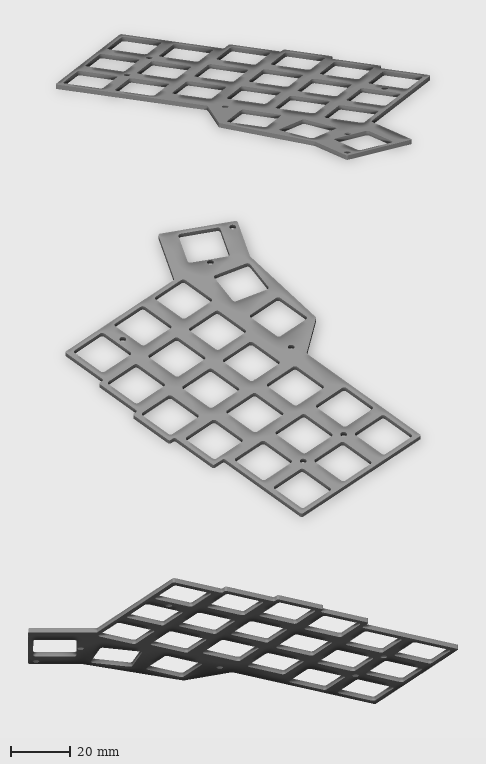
import cadquery as cq
import math


PLATE_LENGTH = 132.9
THICKNESS = 1.6
PITCH = 19.0
KEY_GAP = 0.9
STAGGER = 2.4
COLUMN_STEPS = [0, 0, 2, 3, 2, 1]
ROWS = 3
BOTTOM_ROW_Y = 37.2
OPENING_WIDTH = 14.6
OPENING_HEIGHT = 13.8
PLATE_RADIUS = 0.7
OPENING_RADIUS = 1.0
LOWER_BEND_X = 56.0
SCREW_DIAMETER = 2.3
THUMB_SCREWS = [(61.8, 29.8), (110.8, 20.5), (118.1, 3.0)]

INNER_THUMB = (75.5, 22.6)
MIDDLE_THUMB = (96.5, 19.8)
MIDDLE_THUMB_ANGLE = -15
OUTER_THUMB_ANGLE = -30
OUTER_THUMB_UNITS = 1.5

FRAME_HALF = (PITCH - KEY_GAP) / 2
OUTER_FRAME_HALF_HEIGHT = (OUTER_THUMB_UNITS * PITCH - KEY_GAP) / 2
TILT_COS = math.cos(math.radians(OUTER_THUMB_ANGLE))
TILT_SIN = math.sin(math.radians(OUTER_THUMB_ANGLE))

ROUND_X = FRAME_HALF - PLATE_RADIUS
ROUND_Y = OUTER_FRAME_HALF_HEIGHT - PLATE_RADIUS
OUTER_THUMB = (
    PLATE_LENGTH - PLATE_RADIUS - ROUND_X * TILT_COS + ROUND_Y * TILT_SIN,
    PLATE_RADIUS - ROUND_X * TILT_SIN + ROUND_Y * TILT_COS,
)


def column_x(column):
    return FRAME_HALF + column * PITCH


def key_y(column, row):
    return BOTTOM_ROW_Y + row * PITCH + COLUMN_STEPS[column] * STAGGER


def column_top(column):
    return key_y(column, ROWS - 1) + FRAME_HALF


def on_outer_thumb(across, along):
    """Point given in the tilted axes of the outer thumb key."""
    return (
        OUTER_THUMB[0] + across * TILT_COS - along * TILT_SIN,
        OUTER_THUMB[1] + across * TILT_SIN + along * TILT_COS,
    )


def plate():
    bottom = BOTTOM_ROW_Y - FRAME_HALF
    step_left = [column_x(i) - FRAME_HALF for i in (2, 3)]
    step_right = [column_x(i) + FRAME_HALF for i in (3, 4, 5)]
    right = step_right[-1]
    frame_upper = on_outer_thumb(FRAME_HALF, OUTER_FRAME_HALF_HEIGHT)
    frame_lower = on_outer_thumb(FRAME_HALF, -OUTER_FRAME_HALF_HEIGHT)
    shoulder_y = frame_upper[1] + (right - frame_upper[0]) * TILT_SIN / TILT_COS

    outline = [
        (0, bottom),
        (0, column_top(0)),
        (step_left[0], column_top(1)),
        (step_left[0], column_top(2)),
        (step_left[1], column_top(2)),
        (step_left[1], column_top(3)),
        (step_right[0], column_top(3)),
        (step_right[0], column_top(4)),
        (step_right[1], column_top(4)),
        (step_right[1], column_top(5)),
        (right, column_top(5)),
        (right, shoulder_y),
        frame_upper,
        frame_lower,
        on_outer_thumb(-FRAME_HALF, -OUTER_FRAME_HALF_HEIGHT),
        (INNER_THUMB[0] - FRAME_HALF, INNER_THUMB[1] - FRAME_HALF),
        (LOWER_BEND_X, bottom),
    ]
    return (
        cq.Workplane("XY")
        .polyline(outline)
        .close()
        .extrude(THICKNESS)
        .edges("|Z")
        .fillet(PLATE_RADIUS)
    )


def key_opening(center, angle=0, height=OPENING_HEIGHT):
    return (
        cq.Workplane("XY")
        .rect(OPENING_WIDTH, height)
        .extrude(THICKNESS)
        .edges("|Z")
        .fillet(OPENING_RADIUS)
        .rotate((0, 0, 0), (0, 0, 1), angle)
        .translate((center[0], center[1], 0))
    )


def cut_key_openings(body):
    for column in range(len(COLUMN_STEPS)):
        for row in range(ROWS):
            body = body.cut(key_opening((column_x(column), key_y(column, row))))
    body = body.cut(key_opening(INNER_THUMB))
    body = body.cut(key_opening(MIDDLE_THUMB, MIDDLE_THUMB_ANGLE))
    return body.cut(key_opening(OUTER_THUMB, OUTER_THUMB_ANGLE, OPENING_WIDTH))


def cut_screw_holes(body):
    between_left_columns = (column_x(0) + column_x(1)) / 2
    centers = [
        (between_left_columns, key_y(0, 0) + PITCH / 2),
        (between_left_columns, key_y(0, 1) + PITCH / 2),
        (column_x(5), key_y(5, 1) + PITCH / 2),
    ] + THUMB_SCREWS
    holes = (
        cq.Workplane("XY")
        .pushPoints(centers)
        .circle(SCREW_DIAMETER / 2)
        .extrude(THICKNESS)
    )
    return body.cut(holes)


result = cut_screw_holes(cut_key_openings(plate()))